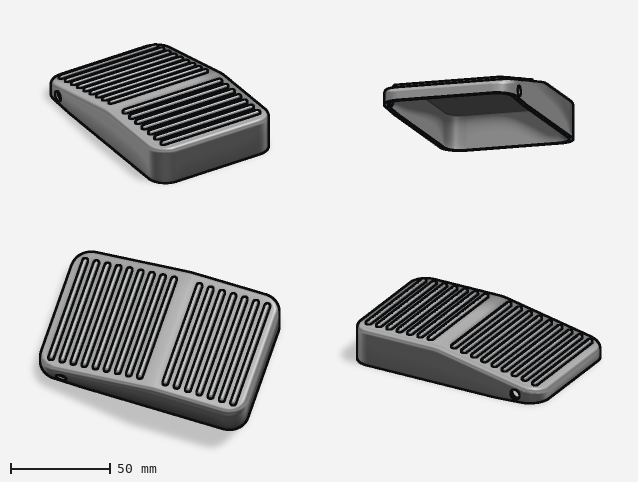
import cadquery as cq
import math

length = 110.0
width = 70.0
height = 20.0
corner_radius = 10.0
rim_radius = 3.0

toe_top = 8.0
bend_x = 60.0
bend_radius = 20.0
lift_angle = 3.0
lift_end_x = 25.0
toe_lift = lift_end_x * math.tan(math.radians(lift_angle))

wall = 2.0

pin_diameter = 5.3
pin_x = 14.0
pin_z = 4.5

rib_radius = 1.5
rib_straight = 56.0
rib_pitch = 6.0
slope_rib_count = 9
level_rib_count = 7


def make_body():
    """Hollow wedge with rounded plan corners, a blended bend and a rounded top rim."""
    profile = [
        (0, toe_lift),
        (lift_end_x, 0),
        (length, 0),
        (length, height),
        (bend_x, height),
        (0, toe_top),
    ]
    wedge = cq.Workplane("XZ").polyline(profile).close().extrude(width / 2, both=True)
    bend_edge = cq.selectors.NearestToPointSelector((bend_x, 0, height))
    wedge = wedge.edges(bend_edge).fillet(bend_radius)
    wedge = wedge.edges("|Z").fillet(corner_radius)
    level_deck = wedge.faces(">Z")
    wedge = level_deck.edges(">X").fillet(rim_radius)
    sloped_base = cq.selectors.NearestToPointSelector((lift_end_x / 2, 0, toe_lift / 2))
    flat_base = cq.selectors.DirectionMinMaxSelector(cq.Vector(0, 0, 1), False)
    return wedge.faces(sloped_base + flat_base).shell(-wall)


def make_rib(x, z):
    """One rod along Y with a ball at each end, centred at (x, 0, z)."""
    half = rib_straight / 2
    rib = cq.Workplane("XZ", origin=(x, half, z)).circle(rib_radius).extrude(rib_straight)
    for y in (-half, half):
        ball = cq.Workplane("XY", origin=(x, y, z)).sphere(rib_radius)
        rib = rib.union(ball)
    return rib


def rib_centres(start, end, count):
    """Points at the rib pitch, centred on the deck line from start to end."""
    run = end[0] - start[0]
    rise = end[1] - start[1]
    deck_length = math.hypot(run, rise)
    margin = (deck_length - (count - 1) * rib_pitch) / 2
    centres = []
    for index in range(count):
        fraction = (margin + index * rib_pitch) / deck_length
        centres.append((start[0] + fraction * run, start[1] + fraction * rise))
    return centres


def add_ribs(body):
    """Fuse the ribs of the sloped deck and the level deck to the body."""
    toe = (0, toe_top)
    bend = (bend_x, height)
    heel = (length, height)
    centres = rib_centres(toe, bend, slope_rib_count)
    centres += rib_centres(bend, heel, level_rib_count)
    for x, z in centres:
        body = body.union(make_rib(x, z))
    return body


def cut_pin_hole(body):
    """Drill the pin hole through the full width."""
    drill = cq.Workplane("XZ", origin=(pin_x, 0, pin_z)).circle(pin_diameter / 2)
    return body.cut(drill.extrude(width, both=True))


result = cut_pin_hole(add_ribs(make_body()))